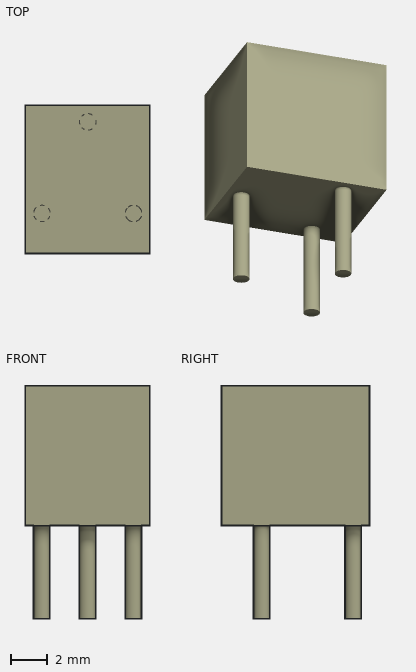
import cadquery as cq

housing_width = 6.8
housing_depth = 8.1
total_height = 12.72
pin_length = 5.09
pin_diameter = 0.9
pin_pitch = 5.0
rear_pin_to_back = 0.9

housing_height = total_height - pin_length
rear_pin_y = housing_depth / 2 - rear_pin_to_back
front_pin_y = rear_pin_y - pin_pitch
pin_places = [
    (-pin_pitch / 2, front_pin_y),
    (0, rear_pin_y),
    (pin_pitch / 2, front_pin_y),
]


def make_housing():
    """Plain rectangular block."""
    return cq.Workplane("XY").box(
        housing_width, housing_depth, housing_height, centered=(True, True, False)
    )


def make_pin(x, y):
    """Round lead hanging from the underside of the housing."""
    return cq.Workplane("XY").center(x, y).circle(pin_diameter / 2).extrude(-pin_length)


housing = make_housing()
pins = [make_pin(x, y) for x, y in pin_places]

result = cq.Compound.makeCompound([housing.val(), *[pin.val() for pin in pins]])